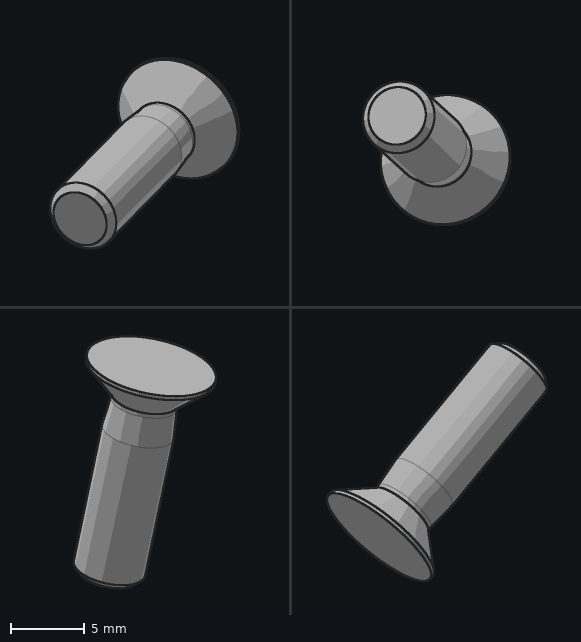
import cadquery as cq

length = 16.0
head_radius = 9.0 / 2
rim_thickness = 0.3
neck_radius = 4.6 / 2
neck_length = 0.32
shank_radius = 5.0 / 2
taper_end_depth = 5.0
tip_chamfer = 0.5

cone_end_depth = rim_thickness + head_radius - neck_radius
neck_end_depth = cone_end_depth + neck_length

result = (
    cq.Workplane("XY")
    .moveTo(0, 0)
    .lineTo(head_radius, 0)
    .lineTo(head_radius, -rim_thickness)
    .lineTo(neck_radius, -cone_end_depth)
    .lineTo(neck_radius, -neck_end_depth)
    .lineTo(shank_radius, -taper_end_depth)
    .lineTo(shank_radius, -(length - tip_chamfer))
    .lineTo(shank_radius - tip_chamfer, -length)
    .lineTo(0, -length)
    .close()
    .revolve(360, (0, 0, 0), (0, 1, 0))
)